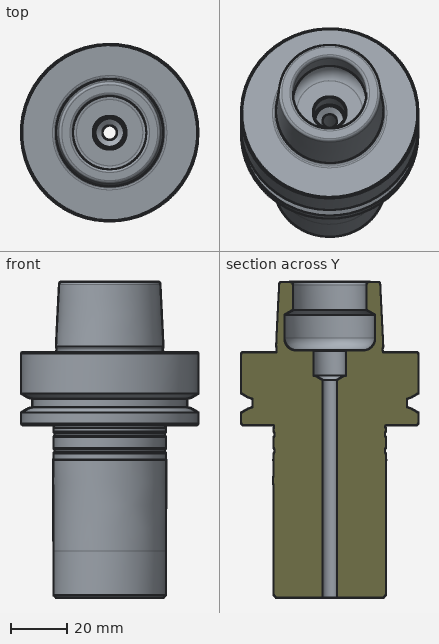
import cadquery as cq
import math


COS_45 = math.cos(math.radians(45))
TAN_30 = math.tan(math.radians(30))

total_length = 112.0
taper_length = 25.0
flange_thickness = 26.0
flange_top = total_length - taper_length
flange_bottom = flange_top - flange_thickness

taper_base_radius = 38.2 / 2
taper_ratio = 0.1
taper_base_z = flange_top + 2.0
rim_fillet = 1.0
taper_top_z = total_length - rim_fillet
taper_top_radius = taper_base_radius - taper_ratio / 2 * (taper_top_z - taper_base_z)

neck_relief = 0.2
neck_radius = taper_base_radius - neck_relief
neck_top_z = flange_top + 1.2
neck_fillet = 0.8
face_relief_radius = 40.5 / 2
face_relief_depth = 0.1

flange_radius = 63.0 / 2
flange_top_chamfer = 0.5
flange_bottom_chamfer = 0.7
grip_floor_radius = 55.0 / 2
grip_top_z = 72.4
grip_bottom_z = 65.6
grip_cone_depth = 2.6
grip_cone_height = grip_cone_depth * TAN_30
grip_lip_height = 0.5

body_radius = 40.0 / 2
body_chamfer = 1.0
ring_groove_depth = 0.3
ring_groove_shoulder = 0.6
ring_groove_width = 2.0
ring_groove_tops = (58.9, 53.1)
collar_groove_width = 0.9
collar_groove_depth = 0.2
sleeve_top_radius = 40.2 / 2
sleeve_top_z = 48.7
sleeve_top_chamfer = 0.3
sleeve_cone_start_z = 16.6

socket_radius = 26.0 / 2
socket_rim_fillet = 1.1
undercut_radius = 32.0 / 2
undercut_shoulder_z = total_length - 10.1
undercut_shoulder_height = (undercut_radius - socket_radius) * TAN_30
socket_floor_radius = 23.5 / 2
socket_floor_fillet = undercut_radius - socket_floor_radius
socket_floor_z = total_length - 24.3

hole_mouth_radius = 12.0 / 2
hole_mouth_chamfer = 0.3
hole_shelf_depth = 9.0
cone_mouth_radius = 10.1 / 2
through_radius = 5.0 / 2
cone_half_angle = 59
cone_depth = (cone_mouth_radius - through_radius) / math.tan(math.radians(cone_half_angle))


def revolve_profile(profile):
    """Turn a closed half profile (local x = radius, local y = height) around Z."""
    return profile.close().revolve(360, (0, 0, 0), (0, 1, 0))


def make_ring_groove(top_z):
    """Shallow groove with sloped shoulders around the cylindrical body."""
    floor_radius = body_radius - ring_groove_depth
    bottom_z = top_z - ring_groove_width
    return revolve_profile(
        cq.Workplane("XZ")
        .moveTo(body_radius, top_z)
        .lineTo(floor_radius, top_z - ring_groove_shoulder)
        .lineTo(floor_radius, bottom_z + ring_groove_shoulder)
        .lineTo(body_radius, bottom_z)
    )


def make_collar_groove():
    """Round-bottomed groove directly under the flange."""
    return revolve_profile(
        cq.Workplane("XZ")
        .moveTo(body_radius, flange_bottom)
        .threePointArc(
            (body_radius - collar_groove_depth, flange_bottom - collar_groove_width / 2),
            (body_radius, flange_bottom - collar_groove_width),
        )
    )


def make_outside():
    """Solid outer form: body, flange with gripper groove, neck and taper."""
    grip_cone_radius = flange_radius - grip_cone_depth
    grip_upper_z = grip_top_z - grip_cone_height
    grip_lower_z = grip_bottom_z + grip_cone_height
    relief_z = flange_top - face_relief_depth
    rim_centre_radius = taper_top_radius - rim_fillet
    return revolve_profile(
        cq.Workplane("XZ")
        .moveTo(0, 0)
        .lineTo(body_radius - body_chamfer, 0)
        .lineTo(body_radius, body_chamfer)
        .lineTo(body_radius, sleeve_cone_start_z)
        .lineTo(sleeve_top_radius, sleeve_top_z)
        .lineTo(body_radius, sleeve_top_z + sleeve_top_chamfer)
        .lineTo(body_radius, flange_bottom)
        .lineTo(flange_radius - flange_bottom_chamfer, flange_bottom)
        .lineTo(flange_radius, flange_bottom + flange_bottom_chamfer)
        .lineTo(flange_radius, grip_bottom_z)
        .lineTo(grip_cone_radius, grip_lower_z)
        .lineTo(grip_floor_radius, grip_lower_z + grip_lip_height)
        .lineTo(grip_floor_radius, grip_upper_z - grip_lip_height)
        .lineTo(grip_cone_radius, grip_upper_z)
        .lineTo(flange_radius, grip_top_z)
        .lineTo(flange_radius, flange_top - flange_top_chamfer)
        .lineTo(flange_radius - flange_top_chamfer, flange_top)
        .lineTo(face_relief_radius, flange_top)
        .lineTo(neck_radius + neck_fillet, relief_z)
        .threePointArc(
            (neck_radius + neck_fillet * (1 - COS_45), relief_z + neck_fillet * (1 - COS_45)),
            (neck_radius, relief_z + neck_fillet),
        )
        .lineTo(neck_radius, neck_top_z)
        .lineTo(taper_base_radius, taper_base_z)
        .lineTo(taper_top_radius, taper_top_z)
        .threePointArc(
            (rim_centre_radius + rim_fillet * COS_45, taper_top_z + rim_fillet * COS_45),
            (rim_centre_radius, total_length),
        )
        .lineTo(0, total_length)
    )


def make_socket():
    """Clamping socket: rounded mouth, undercut below a sloped shoulder, filleted floor."""
    mouth_radius = socket_radius + socket_rim_fillet
    rim_edge_z = total_length - socket_rim_fillet
    fillet_top_z = socket_floor_z + socket_floor_fillet
    return revolve_profile(
        cq.Workplane("XZ")
        .moveTo(0, total_length)
        .lineTo(mouth_radius, total_length)
        .threePointArc(
            (mouth_radius - socket_rim_fillet * COS_45, rim_edge_z + socket_rim_fillet * COS_45),
            (socket_radius, rim_edge_z),
        )
        .lineTo(socket_radius, undercut_shoulder_z)
        .lineTo(undercut_radius, undercut_shoulder_z - undercut_shoulder_height)
        .lineTo(undercut_radius, fillet_top_z)
        .threePointArc(
            (socket_floor_radius + socket_floor_fillet * COS_45, fillet_top_z - socket_floor_fillet * COS_45),
            (socket_floor_radius, socket_floor_z),
        )
        .lineTo(0, socket_floor_z)
    )


def make_centre_hole():
    """Chamfered mouth, flat shelf, countersink and through bore."""
    bore_radius = hole_mouth_radius - hole_mouth_chamfer
    shelf_z = socket_floor_z - hole_shelf_depth
    return revolve_profile(
        cq.Workplane("XZ")
        .moveTo(0, socket_floor_z)
        .lineTo(hole_mouth_radius, socket_floor_z)
        .lineTo(bore_radius, socket_floor_z - hole_mouth_chamfer)
        .lineTo(bore_radius, shelf_z)
        .lineTo(cone_mouth_radius, shelf_z)
        .lineTo(through_radius, shelf_z - cone_depth)
        .lineTo(through_radius, 0)
        .lineTo(0, 0)
    )


result = make_outside().cut(make_collar_groove())
for groove_top in ring_groove_tops:
    result = result.cut(make_ring_groove(groove_top))
result = result.cut(make_socket()).cut(make_centre_hole())